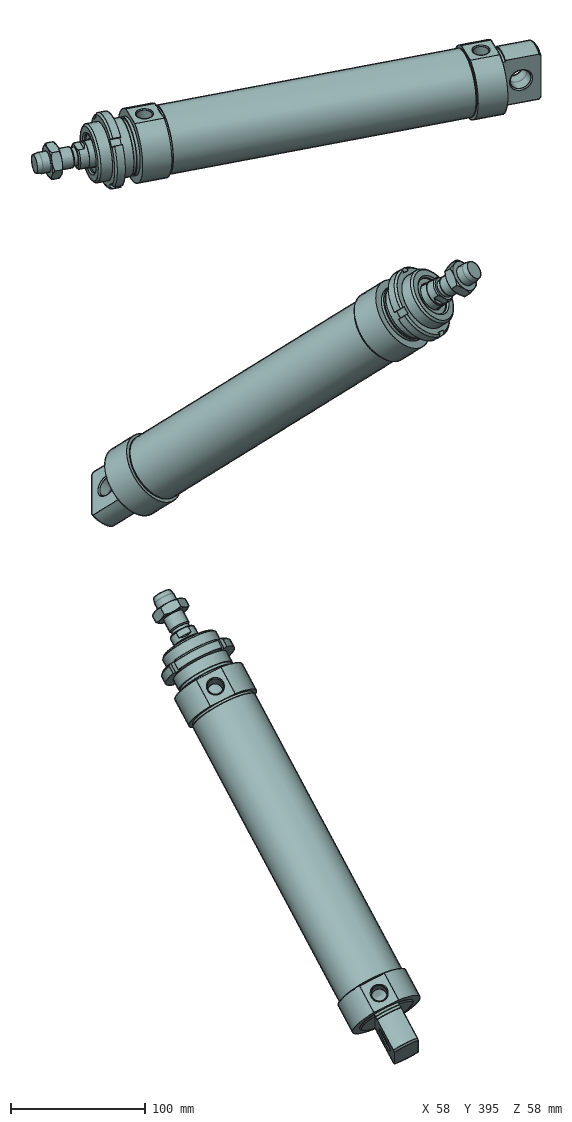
import cadquery as cq
import math

overall_length = 395.0
rod_nut_start = 10.3
rod_shoulder = 32.0
flats_end = 38.7
lip_end = 40.0
boss_face = 43.0
mounting_nut_start = 53.7
front_groove_start = 70.7
front_head_start = 75.5
barrel_start = 98.5
barrel_end = 339.5
rear_head_end = 362.5
lug_start = 363.8
rear_groove_start = 364.5

barrel_diameter = 52.5
barrel_neck_diameter = 51.0
front_neck_length = 2.0
rear_neck_length = 0.8
head_diameter = 57.0
boss_diameter = 45.0
boss_chamfer = 1.5
groove_diameter = 42.5
groove_width = 2.5

port_flat_height = 26.5
port_diameter = 12.0
port_mouth_diameter = 13.5
rear_port_depth = 12.0
drill_point_angle = 118.0
rear_port_y = 351.0
front_port_y = 86.5

lug_thickness = 20.0
lug_hole_diameter = 16.0
lug_hole_mouth_diameter = 18.0
lug_hole_y = 379.2

rod_diameter = 20.0
rod_end_chamfer = 1.0
flats_width = 17.5
thread_diameter = 16.0
thread_root_diameter = 14.2
thread_tip_chamfer_length = 4.0
relief_length = 2.8

recess_diameter = 30.0
recess_mouth_diameter = 32.5
recess_depth = 2.5
lip_gap_diameter = 22.0
lip_gap_depth = 4.0
lip_diameter = 21.0

mounting_nut_diameter = 58.0
mounting_nut_length = 8.0
mounting_nut_chamfer = 1.5
slot_count = 4
slot_width = 6.0
slot_depth = 3.35

rod_nut_length = 8.0
rod_nut_width = 24.0

over = 4.0


def turned(profile):
    """Solid of revolution about Y from (radius, y) points, closed along the axis."""
    return cq.Workplane("XY").polyline(profile).close().revolve(360, (0, 0, 0), (0, 1, 0))


def cylinder(diameter, y_start, y_end):
    radius = diameter / 2
    return turned([(0, y_start), (radius, y_start), (radius, y_end), (0, y_end)])


def cone(start_diameter, end_diameter, y_start, y_end):
    return turned([(0, y_start), (start_diameter / 2, y_start), (end_diameter / 2, y_end), (0, y_end)])


def groove(y_start):
    """Ring that cuts the relief groove into a boss."""
    ring = cylinder(boss_diameter + over, y_start, y_start + groove_width)
    return ring.cut(cylinder(groove_diameter, y_start, y_start + groove_width))


def cut_port_flat(head, y_start, y_end):
    block = cq.Workplane("XY").box(
        head_diameter, y_end - y_start, head_diameter, centered=(True, False, False)
    )
    return head.cut(block.translate((0, y_start, port_flat_height)))


def port_cutter(y, depth, tip_length):
    """Drill shape pointing down from the port flat, with a chamfered mouth."""
    radius = port_diameter / 2
    mouth_radius = port_mouth_diameter / 2
    profile = [
        (0, 0),
        (mouth_radius, 0),
        (radius, radius - mouth_radius),
        (radius, -depth),
        (0, -depth - tip_length),
    ]
    drill = cq.Workplane("XZ").polyline(profile).close().revolve(360, (0, 0, 0), (0, 1, 0))
    return drill.translate((0, y, port_flat_height))


def make_barrel():
    """Bar with a short narrower neck at each end, against the heads."""
    neck = cylinder(barrel_neck_diameter, barrel_start, barrel_end)
    body = cylinder(barrel_diameter, barrel_start + front_neck_length, barrel_end - rear_neck_length)
    return neck.union(body)


def make_rear_head():
    head = cut_port_flat(cylinder(head_diameter, barrel_end, rear_head_end), barrel_end, rear_head_end)
    boss = cylinder(boss_diameter, rear_head_end, overall_length).faces(">Y").chamfer(boss_chamfer)
    head = head.union(boss).cut(groove(rear_groove_start))

    lug_length = overall_length - lug_start
    side = cq.Workplane("XY").box(boss_diameter, lug_length, boss_diameter, centered=(False, False, True))
    side = side.translate((lug_thickness / 2, lug_start, 0))
    head = head.cut(side).cut(side.mirror("YZ"))

    hole = cq.Workplane("YZ").center(lug_hole_y, 0).circle(lug_hole_diameter / 2)
    head = head.cut(hole.extrude(lug_thickness, both=True))
    mouth_edges = cq.selectors.BoxSelector(
        (-lug_thickness, lug_hole_y - lug_hole_diameter, -lug_hole_diameter),
        (lug_thickness, lug_hole_y + lug_hole_diameter, lug_hole_diameter),
    )
    head = head.edges(mouth_edges).edges("%CIRCLE").chamfer((lug_hole_mouth_diameter - lug_hole_diameter) / 2)

    drill_tip = port_diameter / 2 / math.tan(math.radians(drill_point_angle / 2))
    return head.cut(port_cutter(rear_port_y, rear_port_depth, drill_tip))


def make_front_head():
    head = cylinder(head_diameter, front_head_start, barrel_start)
    head = cut_port_flat(head, front_head_start, barrel_start)
    boss = cylinder(boss_diameter, boss_face, front_head_start).faces("<Y").chamfer(boss_chamfer)
    head = head.union(boss).cut(groove(front_groove_start))

    mouth_depth = (recess_mouth_diameter - recess_diameter) / 2
    head = head.cut(cylinder(recess_diameter, boss_face, boss_face + recess_depth))
    head = head.cut(cone(recess_mouth_diameter, recess_diameter, boss_face, boss_face + mouth_depth))
    head = head.cut(cylinder(lip_gap_diameter, boss_face, boss_face + lip_gap_depth))
    head = head.union(cylinder(lip_diameter, lip_end, boss_face + lip_gap_depth))

    head = head.cut(cylinder(rod_diameter, lip_end, barrel_start))
    return head.cut(port_cutter(front_port_y, port_flat_height, 0))


def make_rod():
    shank = cylinder(rod_diameter, rod_shoulder, barrel_start).faces("<Y").chamfer(rod_end_chamfer)

    flat_height = flats_width / 2
    ramp = rod_diameter / 2 - flat_height
    flat_outline = cq.Workplane("YZ").polyline([
        (rod_shoulder, flat_height),
        (flats_end - ramp, flat_height),
        (flats_end, rod_diameter / 2),
        (rod_shoulder, rod_diameter / 2),
    ])
    flat = flat_outline.close().extrude(rod_diameter, both=True)
    shank = shank.cut(flat).cut(flat.mirror("XY"))

    radius = thread_diameter / 2
    root_radius = thread_root_diameter / 2
    relief_start = rod_shoulder - relief_length
    thread = turned([
        (0, 0),
        (root_radius, 0),
        (radius, thread_tip_chamfer_length),
        (radius, relief_start - (radius - root_radius)),
        (root_radius, relief_start),
        (root_radius, rod_shoulder),
        (0, rod_shoulder),
    ])
    return shank.union(thread)


def make_mounting_nut():
    nut = cylinder(mounting_nut_diameter, mounting_nut_start, mounting_nut_start + mounting_nut_length)
    nut = nut.faces("<Y").chamfer(mounting_nut_chamfer)
    nut = nut.cut(cylinder(boss_diameter, mounting_nut_start, mounting_nut_start + mounting_nut_length))

    slot = cq.Workplane("XY").box(
        slot_depth + over, mounting_nut_length, slot_width, centered=(False, False, True)
    )
    slot = slot.translate((mounting_nut_diameter / 2 - slot_depth, mounting_nut_start, 0))
    pitch = 360 / slot_count
    for index in range(slot_count):
        nut = nut.cut(slot.rotate((0, 0, 0), (0, 1, 0), (index + 0.5) * pitch))
    return nut


def make_rod_nut():
    corner_diameter = rod_nut_width / math.cos(math.pi / 6)
    nut_end = rod_nut_start + rod_nut_length
    nut = cq.Workplane("XZ").polygon(6, corner_diameter).extrude(-rod_nut_length)
    nut = nut.translate((0, rod_nut_start, 0))

    corner_chamfer_length = (corner_diameter - rod_nut_width) / 2 * math.tan(math.pi / 6)
    blank = turned([
        (0, rod_nut_start),
        (rod_nut_width / 2, rod_nut_start),
        (corner_diameter / 2, rod_nut_start + corner_chamfer_length),
        (corner_diameter / 2, nut_end - corner_chamfer_length),
        (rod_nut_width / 2, nut_end),
        (0, nut_end),
    ])
    return nut.intersect(blank).cut(cylinder(thread_diameter, rod_nut_start, nut_end))


barrel = make_barrel()
rear_head = make_rear_head()
front_head = make_front_head()
rod = make_rod()
mounting_nut = make_mounting_nut()
rod_nut = make_rod_nut()

result = cq.Compound.makeCompound([
    barrel.val(),
    rear_head.val(),
    front_head.val(),
    rod.val(),
    mounting_nut.val(),
    rod_nut.val(),
])